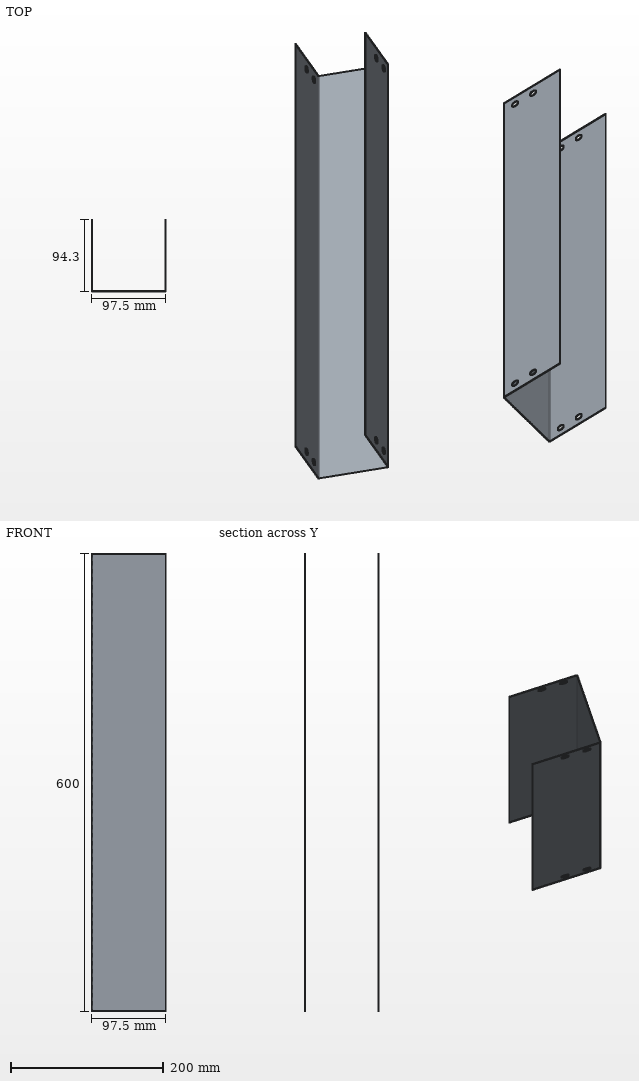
import cadquery as cq

width = 97.5
depth = 94.35
length = 600.0
thickness = 0.8
bend_inner_radius = 0.2
bend_outer_radius = bend_inner_radius + thickness

slot_length = 10.0
slot_height = 8.2
slot_end_distance = 15.0
slot_web_distance = 19.2
slot_spacing = 30.0

web_face_y = -depth / 2
open_edge_y = depth / 2
front_slot_y = web_face_y + slot_web_distance
rear_slot_y = front_slot_y + slot_spacing
upper_slot_z = length / 2 - slot_end_distance


def upright_block(block_width, front_y, corner_radius):
    """Full-length block from front_y to the open edge, with rounded front corners."""
    block_depth = open_edge_y - front_y
    return (
        cq.Workplane("XY")
        .box(block_width, block_depth, length)
        .translate((0, front_y + block_depth / 2, 0))
        .edges("|Z and <Y")
        .fillet(corner_radius)
    )


def make_channel():
    """Outer block with the inner block removed, leaving the web, flanges and bends."""
    outside = upright_block(width, web_face_y, bend_outer_radius)
    inside = upright_block(width - 2 * thickness, web_face_y + thickness, bend_inner_radius)
    return outside.cut(inside)


def make_slot_cutters():
    """Bars along X that cut each slot through both flanges."""
    centers = [(y, z) for y in (front_slot_y, rear_slot_y) for z in (-upper_slot_z, upper_slot_z)]
    return (
        cq.Workplane("YZ")
        .pushPoints(centers)
        .slot2D(slot_length, slot_height)
        .extrude(width, both=True)
    )


result = make_channel().cut(make_slot_cutters())